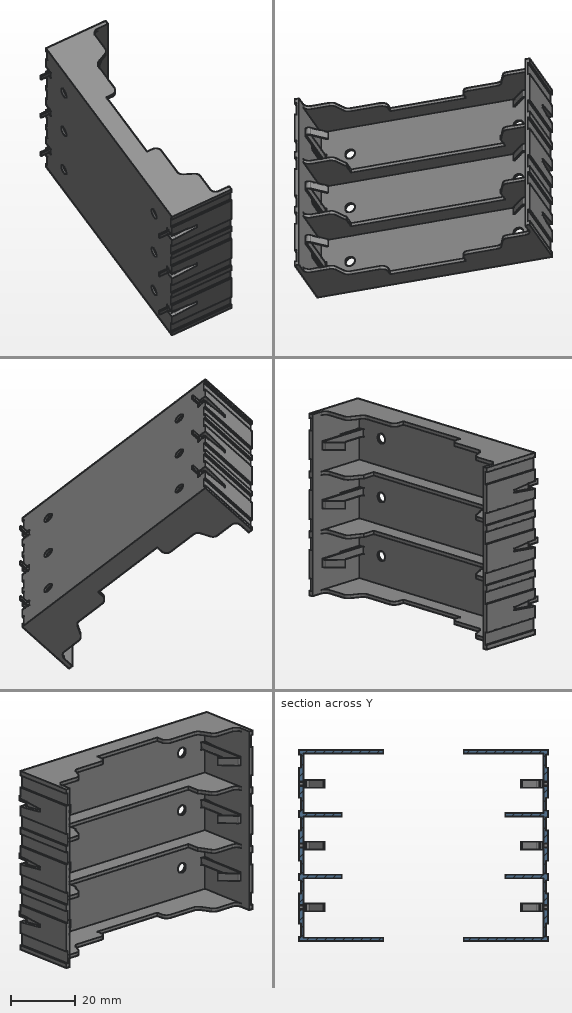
import cadquery as cq
import math


LENGTH = 77.7
HEIGHT = 59.7
OVERALL_DEPTH = 24.7
DEPTH = 21.6
END_WALL = 1.5
LONG_WALL = 1.2
BASE = 0.8
CELL_PITCH = 19.3
CELL_CENTRES = [-CELL_PITCH, 0.0, CELL_PITCH]

MIDDLE_HALF = 12.5
MIDDLE_Y = 6.45
LOW_SHELF_Y = 10.5
SLOPE_FOOT_X = 25.5
SLOPE_TOP_X = 28.1
HIGH_SHELF_Y = 15.85
STEP_RADIUS = 2.0
END_RADIUS = 1.95

HOLE_DIAMETER = 3.3
HOLE_X = 27.8

GROOVE_DEPTH = 0.6
GROOVE_WIDTH = 4.05
GROOVE_CENTRES = [6.75, 12.9, 26.35]

RECESS_DEPTH = 1.3
NOTCH_TOP_Y = 1.55
RECESS_END_Y = 9.2
RECESS_TIP_WIDTH = 1.0

STRIP_WIDTH = 2.5
STRIP_THICKNESS = 0.5
PIN_WIDTH = 1.55
PIN_LENGTH = OVERALL_DEPTH - DEPTH
BEND_RADIUS = 1.0
CONTACT_TOP_Y = 18.8
ARM_LENGTH = 6.2
ARM_ANGLE = math.radians(45)

SLOT_LENGTH = 1.5

LEFT_END = (-1, 37.0, 37.4)
RIGHT_END = (1, 36.5, 37.1)
ENDS = [LEFT_END, RIGHT_END]


def box(x_range, y_range, z_range):
    """Axis-aligned block between the given limits."""
    size = [high - low for low, high in (x_range, y_range, z_range)]
    corner = (x_range[0], y_range[0], z_range[0])
    return cq.Workplane("XY").box(*size, centered=False).translate(corner)


def long_wall(z_centre):
    """Wall along X with the stepped and rounded open edge."""
    inner_x = LENGTH / 2 - END_WALL
    half = [
        (MIDDLE_HALF, MIDDLE_Y),
        (MIDDLE_HALF, LOW_SHELF_Y),
        (SLOPE_FOOT_X, LOW_SHELF_Y),
        (SLOPE_TOP_X, HIGH_SHELF_Y),
        (inner_x, HIGH_SHELF_Y),
        (inner_x, DEPTH),
        (LENGTH / 2, DEPTH),
        (LENGTH / 2, 0),
    ]
    mirrored = [(-x, y) for x, y in reversed(half)]
    wall = cq.Workplane("XY").polyline(half + mirrored).close().extrude(LONG_WALL)
    for x, y, radius in [
        (MIDDLE_HALF, LOW_SHELF_Y, STEP_RADIUS),
        (SLOPE_FOOT_X, LOW_SHELF_Y, STEP_RADIUS),
        (SLOPE_TOP_X, HIGH_SHELF_Y, STEP_RADIUS),
        (inner_x, HIGH_SHELF_Y, END_RADIUS),
    ]:
        for side in (-1, 1):
            corner = cq.selectors.NearestToPointSelector((side * x, y, LONG_WALL / 2))
            wall = wall.edges("|Z").edges(corner).fillet(radius)
    return wall.translate((0, 0, z_centre - LONG_WALL / 2))


def across_strip(z_centre):
    """Limits in Z of a contact strip."""
    return (z_centre - STRIP_WIDTH / 2, z_centre + STRIP_WIDTH / 2)


def end_recess(side, z_centre):
    """Blind recess in an end face, narrowing toward +Y."""
    half_wide = STRIP_WIDTH / 2
    half_tip = RECESS_TIP_WIDTH / 2
    outline = [
        (NOTCH_TOP_Y, -half_wide),
        (RECESS_END_Y, -half_tip),
        (RECESS_END_Y, half_tip),
        (NOTCH_TOP_Y, half_wide),
    ]
    recess = cq.Workplane("YZ").polyline(outline).close().extrude(RECESS_DEPTH)
    start_x = LENGTH / 2 - RECESS_DEPTH if side > 0 else -LENGTH / 2
    return recess.translate((start_x, 0, z_centre))


def contact_notch(side, slot_outer_x, z_centre):
    """Slot around one contact, open to the end face below the recess."""
    x_range = sorted((side * LENGTH / 2, side * (slot_outer_x - SLOT_LENGTH)))
    return box(x_range, (0, NOTCH_TOP_Y), across_strip(z_centre))


def backing_pad(side, slot_outer_x, z_centre):
    """Pad on the inside of an end wall, reaching in to the line of the slot's outer edge."""
    x_range = sorted((side * (LENGTH / 2 - END_WALL), side * slot_outer_x))
    return box(x_range, (NOTCH_TOP_Y, RECESS_END_Y), across_strip(z_centre))


def divider(z_centre):
    """Wall between two cells: stepped like the long walls at its ends, low in between."""
    opening = box(
        (-SLOPE_FOOT_X, SLOPE_FOOT_X), (MIDDLE_Y, DEPTH), (z_centre - LONG_WALL, z_centre + LONG_WALL)
    )
    return long_wall(z_centre).cut(opening)


def make_housing():
    """Tray with its walls, dividers, holes, grooves and contact openings."""
    half_length = LENGTH / 2
    half_height = HEIGHT / 2
    housing = box((-half_length, half_length), (0, BASE), (-half_height, half_height))
    for x_start in (-half_length, half_length - END_WALL):
        housing = housing.union(box((x_start, x_start + END_WALL), (0, DEPTH), (-half_height, half_height)))

    wall_z = half_height - LONG_WALL / 2
    for z in (-wall_z, wall_z):
        housing = housing.union(long_wall(z))
    for z in (-CELL_PITCH / 2, CELL_PITCH / 2):
        housing = housing.union(divider(z))

    holes = [(x, z) for x in (-HOLE_X, HOLE_X) for z in CELL_CENTRES]
    hole_tool = cq.Workplane("XZ").pushPoints(holes).circle(HOLE_DIAMETER / 2).extrude(-BASE)
    housing = housing.cut(hole_tool)

    for side, _, slot_outer_x in ENDS:
        face_x = side * half_length
        groove_x = sorted((face_x, face_x - side * GROOVE_DEPTH))
        for centre in GROOVE_CENTRES:
            for z in (-centre, centre):
                z_range = (z - GROOVE_WIDTH / 2, z + GROOVE_WIDTH / 2)
                housing = housing.cut(box(groove_x, (0, DEPTH), z_range))
        for z in CELL_CENTRES:
            housing = housing.cut(contact_notch(side, slot_outer_x, z))
            if slot_outer_x < half_length - END_WALL:
                housing = housing.union(backing_pad(side, slot_outer_x, z))
            housing = housing.cut(end_recess(side, z))
    return housing


def make_contact(side, contact_x, z_centre):
    """One bent strip; its outer face is at contact_x and its arm slopes inward."""
    inner_radius = BEND_RADIUS - STRIP_THICKNESS
    bend_x = -BEND_RADIUS
    bend_y = CONTACT_TOP_Y - BEND_RADIUS
    end_angle = math.pi - ARM_ANGLE
    arm_dx = -ARM_LENGTH * math.cos(ARM_ANGLE)
    arm_dy = -ARM_LENGTH * math.sin(ARM_ANGLE)

    def on_bend(radius, angle):
        return (bend_x + radius * math.cos(angle), bend_y + radius * math.sin(angle))

    outer_end = on_bend(BEND_RADIUS, end_angle)
    inner_end = on_bend(inner_radius, end_angle)
    profile = (
        cq.Workplane("XY")
        .moveTo(0, 0)
        .lineTo(0, bend_y)
        .threePointArc(on_bend(BEND_RADIUS, end_angle / 2), outer_end)
        .lineTo(outer_end[0] + arm_dx, outer_end[1] + arm_dy)
        .lineTo(inner_end[0] + arm_dx, inner_end[1] + arm_dy)
        .lineTo(*inner_end)
        .threePointArc(on_bend(inner_radius, end_angle / 2), on_bend(inner_radius, 0))
        .lineTo(-STRIP_THICKNESS, 0)
        .close()
    )
    strip = profile.extrude(STRIP_WIDTH / 2, both=True)
    pin = box((-STRIP_THICKNESS, 0), (-PIN_LENGTH, 0), (-PIN_WIDTH / 2, PIN_WIDTH / 2))
    contact = strip.union(pin)
    if side < 0:
        contact = contact.mirror("YZ")
    return contact.translate((side * contact_x, 0, z_centre))


housing = make_housing()
contacts = [make_contact(side, x, z) for side, x, _ in ENDS for z in CELL_CENTRES]

result = cq.Compound.makeCompound([housing.val(), *[contact.val() for contact in contacts]])